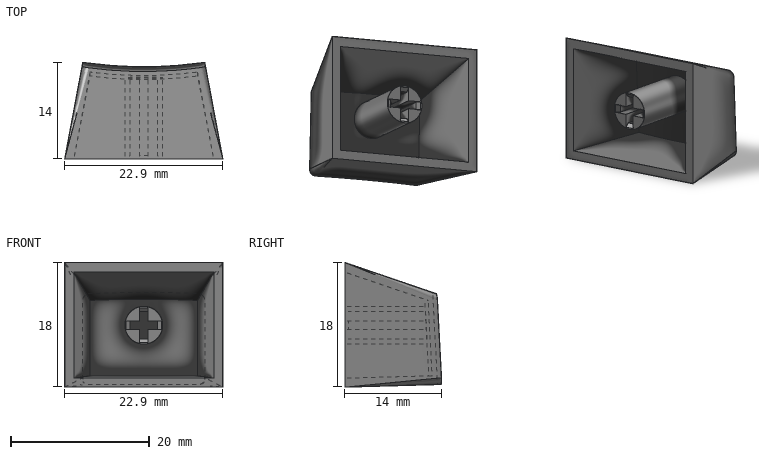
import cadquery as cq
import math

RIM_WIDTH = 22.85
RIM_HEIGHT = 18.0
RIM_BOTTOM = -8.95

END_DEPTH = 14.0
END_WIDTH = 17.5
END_BOTTOM = -8.55
END_TOP = 4.39
END_TILT = 3.0
END_CORNER_RADIUS = 1.0

SIDE_WALL = 1.32
BOTTOM_WALL = 1.3
TOP_WALL = 1.4

DISH_RADIUS = 60.0
DISH_DEPTH = 12.9
FLOOR_THICKNESS = 1.2
DISH_LENGTH = 60.0

STEM_DIAMETER = 5.45
SOCKET_WIDTH = 4.0
SOCKET_HEIGHT = 3.95
ARM_ACROSS_X = 1.17
ARM_ACROSS_Z = 1.25
TIP_CHAMFER = 0.53

RIM_TOP = RIM_BOTTOM + RIM_HEIGHT
TILT_SLOPE = math.tan(math.radians(END_TILT))
END_MIDDLE = (END_BOTTOM + END_TOP) / 2


def end_point(x, z):
    """Point of the tilted end plane at the given X and Z."""
    return cq.Vector(x, END_DEPTH - (z - END_MIDDLE) * TILT_SLOPE, z)


def rectangle_corners(width, bottom, top):
    """(X, Z) corners of a rectangle centred on X = 0."""
    half = width / 2
    return [(-half, bottom), (half, bottom), (half, top), (-half, top)]


def rim_corners(side_inset=0, bottom_inset=0, top_inset=0):
    return rectangle_corners(RIM_WIDTH - 2 * side_inset, RIM_BOTTOM + bottom_inset, RIM_TOP - top_inset)


def end_corners(side_inset=0, bottom_inset=0, top_inset=0):
    return rectangle_corners(END_WIDTH - 2 * side_inset, END_BOTTOM + bottom_inset, END_TOP - top_inset)


def tapered_block(*insets):
    """Solid between the rim rectangle and the tilted end rectangle, both moved inward alike."""
    rim = rim_corners(*insets)
    end = end_corners(*insets)
    rim_wire = cq.Wire.makePolygon([cq.Vector(x, 0, z) for x, z in rim], close=True)
    end_wire = cq.Wire.makePolygon([end_point(x, z) for x, z in end], close=True)
    return cq.Workplane(cq.Solid.makeLoft([rim_wire, end_wire], True))


def dish_cylinder(offset):
    """Cylinder bounding the end face, moved toward the rim by the offset."""
    axis = cq.Vector(0, -TILT_SLOPE, 1).normalized()
    normal = cq.Vector(0, 1, TILT_SLOPE).normalized()
    centre = cq.Vector(0, DISH_DEPTH, 0) + normal * DISH_RADIUS
    base = centre - axis * (DISH_LENGTH / 2)
    return cq.Workplane(cq.Solid.makeCylinder(DISH_RADIUS + offset, DISH_LENGTH, base, axis))


def corner_cutter(rim_corner, end_corner):
    """Waste outside a corner whose radius grows from zero at the rim."""
    rim_x, rim_z = rim_corner
    x, z = end_corner
    step_x = math.copysign(END_CORNER_RADIUS, x)
    step_z = math.copysign(END_CORNER_RADIUS, z)
    inner_x = x - step_x
    inner_z = z - step_z
    outer_x = x + step_x
    outer_z = z + step_z
    diagonal = math.cos(math.radians(45))
    arc_middle = end_point(inner_x + step_x * diagonal, inner_z + step_z * diagonal)
    side_tangent = end_point(x, inner_z)
    flat_tangent = end_point(inner_x, z)
    outline = [
        flat_tangent,
        end_point(inner_x, outer_z),
        end_point(outer_x, outer_z),
        end_point(outer_x, inner_z),
        side_tangent,
    ]
    edges = [cq.Edge.makeLine(start, stop) for start, stop in zip(outline, outline[1:])]
    edges.append(cq.Edge.makeThreePointArc(side_tangent, arc_middle, flat_tangent))
    waste = cq.Wire.assembleEdges(edges)
    apex = cq.Vertex.makeVertex(rim_x, 0, rim_z)
    return cq.Workplane(cq.occ_impl.shapes.loft(waste, apex, cap=True, ruled=True))


def make_body():
    """Tapered outside with its dished end and rounded corners, still solid inside."""
    body = tapered_block(0, 0, 0).cut(dish_cylinder(0))
    for rim_corner, end_corner in zip(rim_corners(), end_corners()):
        body = body.cut(corner_cutter(rim_corner, end_corner))
    return body


def make_cavity():
    """Hollow inside the walls, its floor following the dish."""
    cavity = tapered_block(SIDE_WALL, BOTTOM_WALL, TOP_WALL)
    return cavity.cut(dish_cylinder(FLOOR_THICKNESS))


def socket_arm(length, thickness):
    """Slot running along X, flared at its two tips where it meets the rim plane."""
    tip = length / 2
    flared_tip = tip + TIP_CHAMFER
    return (
        cq.Workplane("XY")
        .moveTo(-flared_tip, 0)
        .lineTo(flared_tip, 0)
        .lineTo(tip, TIP_CHAMFER)
        .lineTo(tip, END_DEPTH)
        .lineTo(-tip, END_DEPTH)
        .lineTo(-tip, TIP_CHAMFER)
        .close()
        .extrude(thickness / 2, both=True)
    )


def make_stem():
    """Round stem, from the rim plane to beyond the cavity floor, with its cross socket."""
    post = cq.Workplane("XZ").circle(STEM_DIAMETER / 2).extrude(-END_DEPTH)
    across = socket_arm(SOCKET_WIDTH, ARM_ACROSS_X)
    upright = socket_arm(SOCKET_HEIGHT, ARM_ACROSS_Z).rotate((0, 0, 0), (0, 1, 0), 90)
    return post.cut(across).cut(upright)


result = make_body().cut(make_cavity().cut(make_stem()))